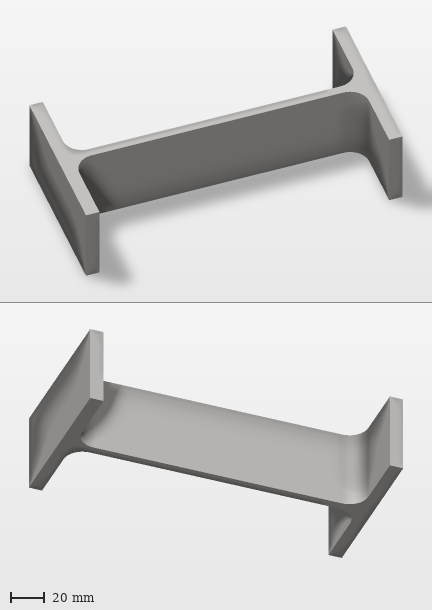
import cadquery as cq

flange_width = 100.0
section_depth = 200.0
clear_depth = 183.0
web_thickness = 5.5
root_radius = 12.0
beam_length = 50.0

flange_thickness = (section_depth - clear_depth) / 2
flange_offset = (clear_depth + flange_thickness) / 2

beam = cq.Workplane("XY").box(web_thickness, section_depth, beam_length)

for side in (-1, 1):
    flange = cq.Workplane("XY").box(flange_width, flange_thickness, beam_length)
    beam = beam.union(flange.translate((0, side * flange_offset, 0)))

root_corners = cq.selectors.BoxSelector(
    (-web_thickness, -section_depth / 2 + flange_thickness / 2, -beam_length),
    (web_thickness, section_depth / 2 - flange_thickness / 2, beam_length),
)
result = beam.edges("|Z").edges(root_corners).fillet(root_radius)